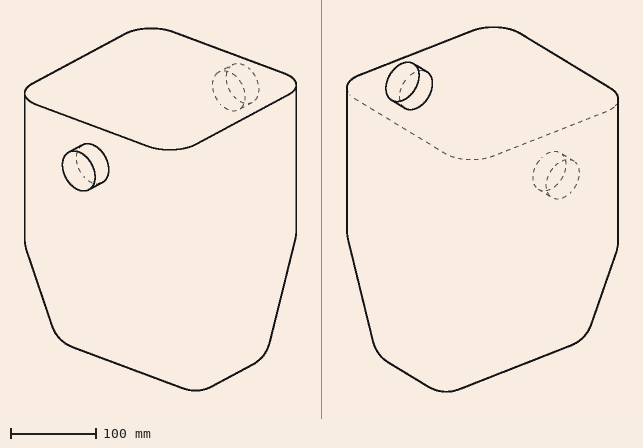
import cadquery as cq

height = 350.0
body_width = 250.0
bottom_depth = 130.0
taper_height = 150.0
edge_radius = 40.0
pin_diameter = 50.0
pin_length = 300.0
pin_drop = 50.0

half_width = body_width / 2
half_bottom = bottom_depth / 2


def make_body():
    """Bucket: square above, tapered in Y below, with the top rim left sharp."""
    profile = [
        (-half_width, height),
        (-half_width, taper_height),
        (-half_bottom, 0),
        (half_bottom, 0),
        (half_width, taper_height),
        (half_width, height),
    ]
    block = cq.Workplane("YZ").polyline(profile).close().extrude(half_width, both=True)
    all_edges = block.edges().objects
    top_rim = block.faces(">Z").edges().objects
    rounded_edges = [edge for edge in all_edges if not any(edge.isSame(rim) for rim in top_rim)]
    return block.newObject(rounded_edges).fillet(edge_radius)


def make_pin():
    """Round pin along Y, projecting from both sides of the body."""
    return (
        cq.Workplane("XZ")
        .center(0, height - pin_drop)
        .circle(pin_diameter / 2)
        .extrude(pin_length / 2, both=True)
    )


result = make_body().union(make_pin())